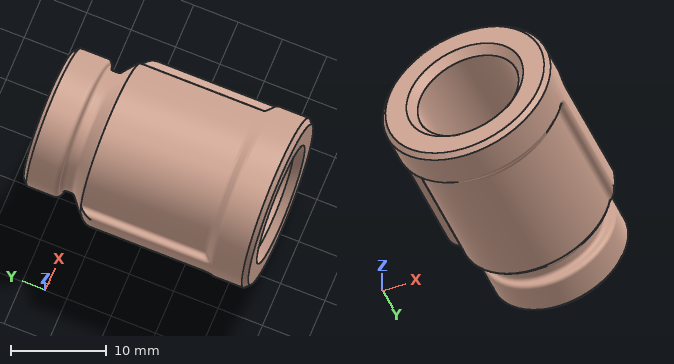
import cadquery as cq
import math

length = 26.0
flange_radius = 19.0 / 2
body_radius = 8.5
neck_radius = 13.5 / 2
head_radius = 15.5 / 2
edge_chamfer = 0.52
blend_radius = 0.5

flange_end = 4.0
body_start = flange_end + flange_radius - body_radius
neck_start = 20.67
shoulder_angle = 50.0
body_end = neck_start - (body_radius - neck_radius) / math.tan(math.radians(shoulder_angle))
head_start = 22.0

rib_width = 3.0
rib_end = 19.35
rib_end_radius = 2.0

bore_radius = 11.45 / 2
mouth_radius = 13.23 / 2
seat_radius = 10.11 / 2
through_radius = 8.55 / 2
bore_depth = 19.0


def revolve_about_y(profile):
    return profile.close().revolve(360, (0, 0, 0), (0, 1, 0))


def tangent_setback(angle):
    """Distance from a corner to the ends of its blend, for a turn of angle degrees."""
    return blend_radius * math.tan(math.radians(angle) / 2)


def make_body():
    """Plain cylinder and neck, joined by a cone with blended corners."""
    setback = tangent_setback(shoulder_angle)
    along = setback * math.cos(math.radians(shoulder_angle))
    inward = setback * math.sin(math.radians(shoulder_angle))
    return revolve_about_y(
        cq.Workplane("XY")
        .moveTo(0, body_start)
        .lineTo(body_radius, body_start)
        .lineTo(body_radius, body_end - setback)
        .radiusArc((body_radius - inward, body_end + along), -blend_radius)
        .lineTo(neck_radius + inward, neck_start - along)
        .radiusArc((neck_radius, neck_start + setback), blend_radius)
        .lineTo(neck_radius, head_start)
        .lineTo(0, head_start)
    )


def make_flange_and_ribs():
    """Front flange running into ribs on +X and -X, with all edges blended."""
    blank = revolve_about_y(
        cq.Workplane("XY")
        .lineTo(flange_radius - edge_chamfer, 0)
        .lineTo(flange_radius, edge_chamfer)
        .lineTo(flange_radius, length)
        .lineTo(0, length)
    ).rotate((0, 0, 0), (0, 1, 0), 90)
    ring = revolve_about_y(
        cq.Workplane("XY")
        .moveTo(body_radius, body_start)
        .lineTo(flange_radius, flange_end)
        .lineTo(2 * flange_radius, flange_end)
        .lineTo(2 * flange_radius, 2 * length)
        .lineTo(body_radius, 2 * length)
    )
    rib_slab = cq.Workplane("XY").box(4 * length, 4 * length, rib_width)
    sharp = blank.cut(ring.cut(rib_slab))
    blended_edges = cq.selectors.BoxSelector(
        (-length, flange_end - edge_chamfer, -length), (length, length - edge_chamfer, length)
    )
    return sharp.edges(blended_edges).fillet(blend_radius)


def make_rib_limit():
    """Solid of revolution whose rounded end limits the length of the ribs."""
    return revolve_about_y(
        cq.Workplane("XY")
        .lineTo(flange_radius, 0)
        .lineTo(flange_radius, rib_end - rib_end_radius)
        .radiusArc((flange_radius - rib_end_radius, rib_end), -rib_end_radius)
        .lineTo(0, rib_end)
    )


def make_head():
    """Rear head; a concave and a convex arc join it to the neck."""
    blend = (head_radius - neck_radius) / 2
    mid_radius = neck_radius + blend
    return revolve_about_y(
        cq.Workplane("XY")
        .moveTo(0, head_start - blend)
        .lineTo(neck_radius, head_start - blend)
        .radiusArc((mid_radius, head_start), blend)
        .radiusArc((head_radius, head_start + blend), -blend)
        .lineTo(head_radius, length - edge_chamfer)
        .lineTo(head_radius - edge_chamfer, length)
        .lineTo(0, length)
    )


def make_bore():
    """Cutter for the chamfered mouth, main bore, conical seat and through hole."""
    mouth_depth = mouth_radius - bore_radius
    seat_depth = bore_depth + bore_radius - seat_radius
    return revolve_about_y(
        cq.Workplane("XY")
        .lineTo(mouth_radius, 0)
        .lineTo(bore_radius, mouth_depth)
        .lineTo(bore_radius, bore_depth)
        .lineTo(seat_radius, seat_depth)
        .lineTo(through_radius, seat_depth)
        .lineTo(through_radius, length)
        .lineTo(0, length)
    )


ribbed_front = make_flange_and_ribs().intersect(make_rib_limit())
outer = ribbed_front.union(make_body()).union(make_head())
result = outer.cut(make_bore()).translate((0, -length / 2, 0))